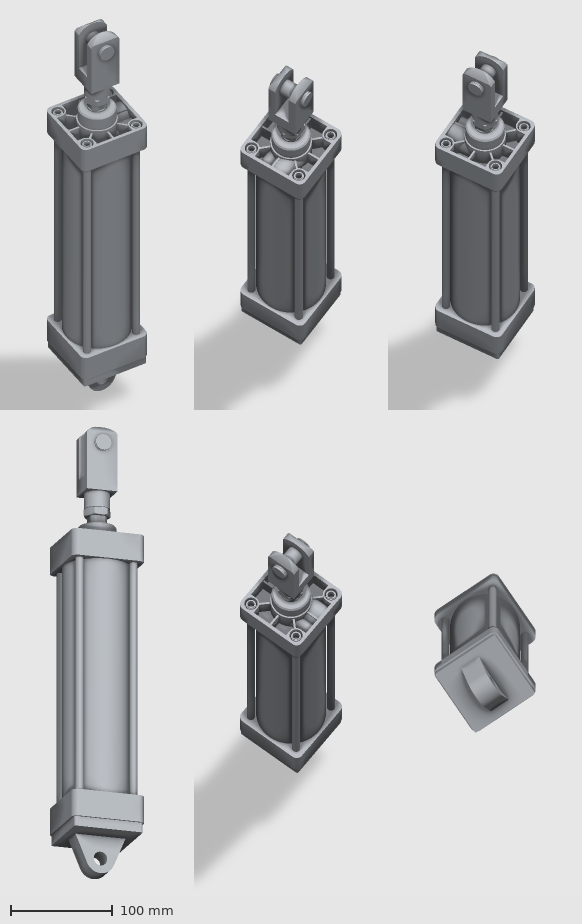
import cadquery as cq
import math


TOTAL_LENGTH = 460.0
CAP_HEIGHT = 27.5
EYE_LENGTH = 38.0
FLANGE_THICKNESS = 10.0
TUBE_LENGTH = 241.0
BOSS_HEIGHT = 15.0
FORK_LENGTH = 83.0
NUT_HEIGHT = 8.0

REAR_CAP_BOTTOM = EYE_LENGTH + FLANGE_THICKNESS
TUBE_BOTTOM = REAR_CAP_BOTTOM + CAP_HEIGHT
TUBE_TOP = TUBE_BOTTOM + TUBE_LENGTH
FRONT_CAP_TOP = TUBE_TOP + CAP_HEIGHT
BOSS_TOP = FRONT_CAP_TOP + BOSS_HEIGHT
FORK_BOTTOM = TOTAL_LENGTH - FORK_LENGTH
NUT_BOTTOM = FORK_BOTTOM - NUT_HEIGHT

CAP_SIZE = 75.0
CAP_CORNER_RADIUS = 6.5
TUBE_DIAMETER = 69.0
TIE_ROD_DIAMETER = 8.0
TIE_ROD_SPACING = 56.0

WALL = 3.5
POCKET_DEPTH = 20.0
POCKET_SIZE = CAP_SIZE - 2 * WALL
CORNER_BOSS_DIAMETER = 16.0
HUB_DIAMETER = 41.0
BOSS_DIAMETER = 38.0
BOSS_CHAMFER = 1.5
RIB_THICKNESS = 2.0
RIB_LENGTH = TIE_ROD_SPACING * math.sqrt(2)
RIB_DROP = 3.0
PORT_BOSS_DIAMETER = 26.0
PORT_BOSS_X = -7.0
PORT_BOSS_DROP = 2.0
CUSHION_BOSS_DIAMETER = 14.0
CUSHION_BOSS_X = 10.0
CUSHION_BOSS_DROP = 9.0
COUNTERBORE_DIAMETER = 13.0
COUNTERBORE_DEPTH = 12.0
TIE_NUT_DIAMETER = 10.0
TIE_NUT_HEIGHT = 10.0
TIE_NUT_NECK_DIAMETER = 8.5
TIE_NUT_NECK_HEIGHT = 1.0
TIE_NUT_THREAD_DIAMETER = 6.65

ROD_DIAMETER = 20.0
ROD_FLATS = 17.0
ROD_FULL_STANDOUT = 1.5
ROD_INSERTION = 30.0
THREAD_DIAMETER = 16.0
THREAD_ENGAGEMENT = 32.0
NUT_FLATS = 24.0
NUT_CHAMFER_ANGLE = 30.0
HEX_HALF_ANGLE = 30.0

FORK_WIDTH = 32.0
FORK_SLOT = 16.0
PIN_DIAMETER = 16.0
PIN_LENGTH = 40.0
PIN_GROOVE_DIAMETER = 15.0
PIN_GROOVE_WIDTH = 1.1
PIN_GROOVE_GAP = 1.5
PIN_TO_TOP = 19.0
SLOT_BELOW_PIN = 32.0
FORK_NECK_DIAMETER = 26.0
FORK_NECK_LENGTH = 16.0
SIDE_CROWN_RADIUS = 20.0
PIN_LEVEL = TOTAL_LENGTH - PIN_TO_TOP

FLANGE_SIZE = 71.0
FLANGE_CORNER_RADIUS = 2.0
EYE_RADIUS = 15.0
EYE_HOLE_DIAMETER = 14.0
EYE_THICKNESS = 21.0
EYE_ROOT_WIDTH = 52.0


def cylinder(diameter, bottom, height):
    return cq.Workplane("XY").workplane(offset=bottom).circle(diameter / 2).extrude(height)


def block(size_x, size_y, bottom, height):
    return cq.Workplane("XY").workplane(offset=bottom).rect(size_x, size_y).extrude(height)


def at_tie_rods(bottom):
    return cq.Workplane("XY").workplane(offset=bottom).rect(
        TIE_ROD_SPACING, TIE_ROD_SPACING, forConstruction=True).vertices()


def cap(bottom):
    return block(CAP_SIZE, CAP_SIZE, bottom, CAP_HEIGHT).edges("|Z").fillet(CAP_CORNER_RADIUS)


def pocket_space():
    """Recess of the front cap, leaving a boss around each tie rod that runs square into the walls."""
    floor = FRONT_CAP_TOP - POCKET_DEPTH
    between_bosses = TIE_ROD_SPACING - CORNER_BOSS_DIAMETER
    cross = block(POCKET_SIZE, between_bosses, floor, POCKET_DEPTH).union(
        block(between_bosses, POCKET_SIZE, floor, POCKET_DEPTH))
    middle = block(TIE_ROD_SPACING, TIE_ROD_SPACING, floor, POCKET_DEPTH)
    bosses = at_tie_rods(floor).circle(CORNER_BOSS_DIAMETER / 2).extrude(POCKET_DEPTH)
    return cross.union(middle.cut(bosses))


def pocket_ribs():
    floor = FRONT_CAP_TOP - POCKET_DEPTH
    ribs = cq.Workplane("XY")
    for angle in (0, 45, 90, 135):
        rib = block(RIB_LENGTH, RIB_THICKNESS, floor, POCKET_DEPTH - RIB_DROP)
        ribs = ribs.union(rib.rotate((0, 0, 0), (0, 0, 1), angle))
    return ribs


def wall_boss(x, diameter, drop):
    """Round boss running inward from the +Y wall, with its crest `drop` below the cap face."""
    axis_level = FRONT_CAP_TOP - drop - diameter / 2
    return (cq.Workplane("XZ", origin=(x, POCKET_SIZE / 2, axis_level))
            .circle(diameter / 2).extrude(POCKET_SIZE / 2))


def front_cap():
    pocket = pocket_space()
    inside = pocket_ribs()
    inside = inside.union(wall_boss(PORT_BOSS_X, PORT_BOSS_DIAMETER, PORT_BOSS_DROP))
    inside = inside.union(wall_boss(CUSHION_BOSS_X, CUSHION_BOSS_DIAMETER, CUSHION_BOSS_DROP))
    body = cap(TUBE_TOP).cut(pocket.cut(inside))
    body = body.union(cylinder(HUB_DIAMETER, TUBE_TOP, CAP_HEIGHT))
    boss = cylinder(BOSS_DIAMETER, FRONT_CAP_TOP, BOSS_HEIGHT).faces(">Z").chamfer(BOSS_CHAMFER)
    body = body.union(boss)

    seat = FRONT_CAP_TOP - COUNTERBORE_DEPTH
    body = body.cut(at_tie_rods(seat).circle(COUNTERBORE_DIAMETER / 2).extrude(COUNTERBORE_DEPTH))
    body = body.union(at_tie_rods(seat).circle(TIE_NUT_DIAMETER / 2).extrude(TIE_NUT_HEIGHT))
    neck_height = TIE_NUT_HEIGHT + TIE_NUT_NECK_HEIGHT
    body = body.union(at_tie_rods(seat).circle(TIE_NUT_NECK_DIAMETER / 2).extrude(neck_height))
    return body.cut(at_tie_rods(seat).circle(TIE_NUT_THREAD_DIAMETER / 2).extrude(neck_height))


def stepped_rod():
    """Smooth rod, then a length with four wrench flats, then the thread."""
    rod_bottom = BOSS_TOP - ROD_INSERTION
    flats_bottom = BOSS_TOP + ROD_FULL_STANDOUT
    rod = cylinder(ROD_DIAMETER, rod_bottom, flats_bottom - rod_bottom)
    flats_height = NUT_BOTTOM - flats_bottom
    flats = cylinder(ROD_DIAMETER, flats_bottom, flats_height).intersect(
        block(ROD_FLATS, ROD_FLATS, flats_bottom, flats_height))
    thread = cylinder(THREAD_DIAMETER, NUT_BOTTOM, FORK_BOTTOM + THREAD_ENGAGEMENT - NUT_BOTTOM)
    return rod.union(flats).union(thread)


def lock_nut():
    corner_diameter = NUT_FLATS / math.cos(math.radians(HEX_HALF_ANGLE))
    hexagon = (cq.Workplane("XY").workplane(offset=NUT_BOTTOM)
               .polygon(6, corner_diameter).extrude(NUT_HEIGHT)
               .rotate((0, 0, 0), (0, 0, 1), HEX_HALF_ANGLE))
    chamfer_width = (corner_diameter - NUT_FLATS) / 2
    chamfer_height = chamfer_width * math.tan(math.radians(NUT_CHAMFER_ANGLE))
    turned = (cylinder(corner_diameter, NUT_BOTTOM, NUT_HEIGHT)
              .faces("<Z or >Z").chamfer(chamfer_height, chamfer_width))
    return hexagon.intersect(turned)


def fork_head():
    bottom = FORK_BOTTOM + FORK_NECK_LENGTH
    head = block(FORK_WIDTH, FORK_WIDTH, bottom, TOTAL_LENGTH - bottom)
    around_pin = (cq.Workplane("YZ", origin=(-FORK_WIDTH / 2, 0, PIN_LEVEL))
                  .circle(PIN_TO_TOP).extrude(FORK_WIDTH))
    side_center = TOTAL_LENGTH - math.sqrt(SIDE_CROWN_RADIUS ** 2 - (FORK_SLOT / 2) ** 2)
    crosswise = (cq.Workplane("XZ", origin=(0, FORK_WIDTH / 2, side_center))
                 .circle(SIDE_CROWN_RADIUS).extrude(FORK_WIDTH))
    below_pin = block(FORK_WIDTH, FORK_WIDTH, bottom, PIN_LEVEL - bottom)
    head = head.intersect(around_pin.union(below_pin)).intersect(crosswise.union(below_pin))
    slot_floor = PIN_LEVEL - SLOT_BELOW_PIN
    return head.cut(block(FORK_SLOT, FORK_WIDTH, slot_floor, TOTAL_LENGTH - slot_floor))


def fork_pin():
    half = PIN_LENGTH / 2
    pin = cq.Workplane("YZ", origin=(-half, 0, PIN_LEVEL)).circle(PIN_DIAMETER / 2).extrude(PIN_LENGTH)
    for start in (PIN_GROOVE_GAP - half, half - PIN_GROOVE_GAP - PIN_GROOVE_WIDTH):
        groove = (cq.Workplane("YZ", origin=(start, 0, PIN_LEVEL))
                  .circle(PIN_DIAMETER / 2).circle(PIN_GROOVE_DIAMETER / 2).extrude(PIN_GROOVE_WIDTH))
        pin = pin.cut(groove)
    return pin


def eye():
    """Tapered tongue, tangent to the round end, with its cross hole."""
    root = EYE_ROOT_WIDTH / 2
    rise = EYE_LENGTH - EYE_RADIUS
    tangent_angle = math.atan2(rise, root) - math.acos(EYE_RADIUS / math.hypot(root, rise))
    tangent_y = EYE_RADIUS * math.cos(tangent_angle)
    tangent_z = EYE_RADIUS + EYE_RADIUS * math.sin(tangent_angle)
    outline = (cq.Workplane("YZ", origin=(-EYE_THICKNESS / 2, 0, 0))
               .moveTo(root, EYE_LENGTH)
               .lineTo(tangent_y, tangent_z)
               .threePointArc((0, 0), (-tangent_y, tangent_z))
               .lineTo(-root, EYE_LENGTH)
               .close()
               .extrude(EYE_THICKNESS))
    hole = (cq.Workplane("YZ", origin=(-EYE_THICKNESS / 2, 0, EYE_RADIUS))
            .circle(EYE_HOLE_DIAMETER / 2).extrude(EYE_THICKNESS))
    return outline.cut(hole)


piston_rod = stepped_rod().union(lock_nut())

barrel = cap(REAR_CAP_BOTTOM).union(cylinder(TUBE_DIAMETER, TUBE_BOTTOM, TUBE_LENGTH)).union(front_cap())
barrel = barrel.union(at_tie_rods(TUBE_BOTTOM).circle(TIE_ROD_DIAMETER / 2).extrude(TUBE_LENGTH))
barrel = barrel.cut(piston_rod)

fork = fork_head().union(cylinder(FORK_NECK_DIAMETER, FORK_BOTTOM, FORK_NECK_LENGTH)).union(fork_pin())
fork = fork.cut(cylinder(THREAD_DIAMETER, FORK_BOTTOM, THREAD_ENGAGEMENT))

flange = block(FLANGE_SIZE, FLANGE_SIZE, EYE_LENGTH, FLANGE_THICKNESS)
bracket = flange.edges("|Z").fillet(FLANGE_CORNER_RADIUS).union(eye())

result = cq.Compound.makeCompound([barrel.val(), piston_rod.val(), fork.val(), bracket.val()])